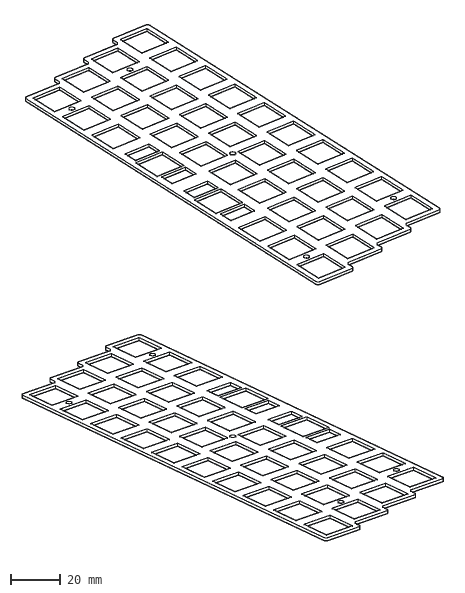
import cadquery as cq

plate_length = 204.8
plate_thickness = 1.4
row_count = 4
keys_per_row = 10
row_shifts = (0, 0.25, 0.5, 0.75)
corner_radius = 1.2

switch_side = 14.0
stabilizer_width = 6.8
stabilizer_height = 12.5
stabilizer_offset_x = 11.9
stabilizer_offset_y = 0.5
screw_hole_diameter = 2.5

key_pitch = plate_length / (keys_per_row + row_shifts[-1])
plate_width = row_count * key_pitch

single_keys = [1] * keys_per_row
bottom_keys = [1, 1, 1, 2, 2, 1, 1, 1]
rows = [single_keys, single_keys, single_keys, bottom_keys]

screw_positions = [(0, 9), (1, 1), (3, 1), (3, 9)]


def key_point(row, pitches):
    """Point on a row's centre line, a number of key pitches from its left end."""
    x = (row_shifts[row] + pitches) * key_pitch - plate_length / 2
    y = plate_width / 2 - (row + 0.5) * key_pitch
    return (x, y)


def key_centers(row):
    """List of (point, key width) for every key of a row."""
    centers = []
    start = 0
    for width in rows[row]:
        centers.append((key_point(row, start + width / 2), width))
        start += width
    return centers


def plate_outline():
    """Corner points of the staggered rows, down the left side and up the right."""
    left_side = []
    right_side = []
    for row in range(row_count):
        left, middle = key_point(row, 0)
        right = key_point(row, keys_per_row)[0]
        for y in (middle + key_pitch / 2, middle - key_pitch / 2):
            left_side.append((left, y))
            right_side.append((right, y))
    return left_side + right_side[::-1]


def cutter(points, width, height):
    """Rectangular through cutters centred on the points."""
    return cq.Workplane("XY").pushPoints(points).rect(width, height).extrude(plate_thickness)


plate = cq.Workplane("XY").polyline(plate_outline()).close().extrude(plate_thickness)
plate = plate.edges("|Z").fillet(corner_radius)

switch_points = []
stabilizer_points = []
for row in range(row_count):
    for (x, y), width in key_centers(row):
        switch_points.append((x, y))
        if width > 1:
            for side in (-1, 1):
                stabilizer_points.append((x + side * stabilizer_offset_x, y + stabilizer_offset_y))

plate = plate.cut(cutter(switch_points, switch_side, switch_side))
plate = plate.cut(cutter(stabilizer_points, stabilizer_width, stabilizer_height))

screw_points = [(0, 0)] + [key_point(row, pitches) for row, pitches in screw_positions]
screws = cq.Workplane("XY").pushPoints(screw_points).circle(screw_hole_diameter / 2)
plate = plate.cut(screws.extrude(plate_thickness))

result = plate